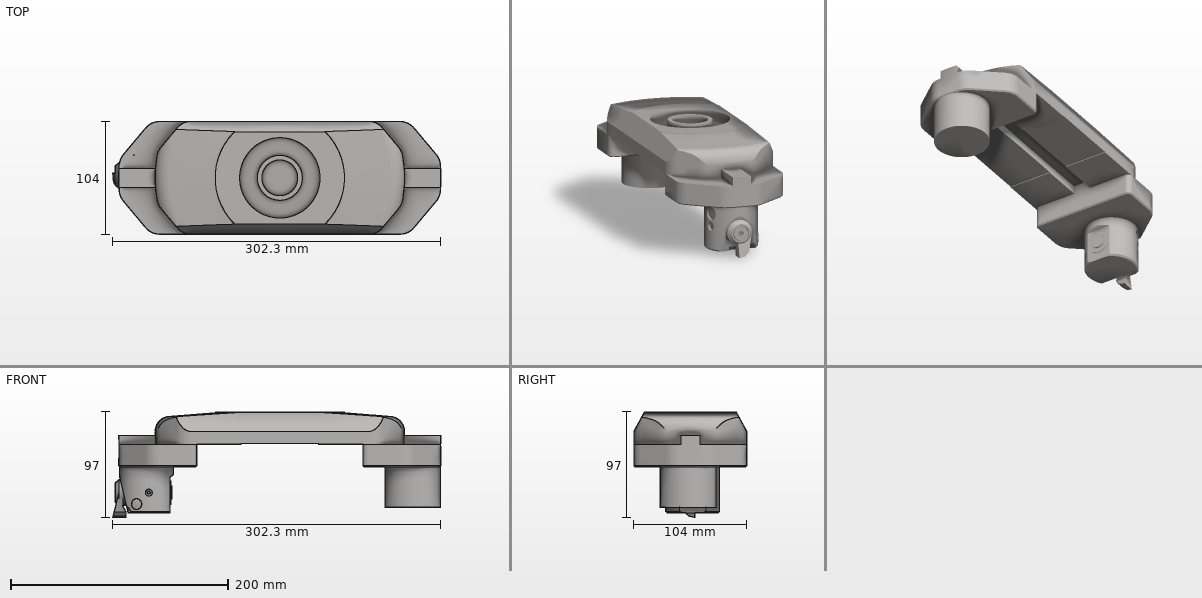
import cadquery as cq
import math

BODY_WIDTH = 104.0
HALF_WIDTH = BODY_WIDTH / 2
TAPER_ANGLE = 50
PLAN_FILLET = 17.0

BRIDGE_TOP = 29.5
BRIDGE_END_RADIUS = 114.8
BRIDGE_TAPER_START = 89.5
SIDE_HEIGHT = 11.8
TOP_HALF_WIDTH = 42.3
CROWN_RADIUS = 101.5
CROWN_HEIGHT = 25.7
DISC_RADIUS = 59.5
DISC_STEP = 0.5
RECESS_DIAMETER = 74.0
RECESS_FLOOR = 20.0
RING_DIAMETER = 41.5
RING_BORE = 33.0
RING_TOP = 29.0
RELIEF_LENGTH = 71.3
RELIEF_DEPTH = 0.5

BLOCK_HEIGHT = 21.0
BLOCK_INNER_X = 76.5
BLOCK_END_RADIUS = 148.5
BLOCK_TAPER_START = 118.5
BLOCK_INNER_FILLET = 4.8
BLOCK_CHAMFER = 1.2
KEY_WIDTH = 17.5
KEY_HEIGHT = 8.2

POST_DIAMETER = 51.5
POST_X = 122.5
POST_Y = -2.0
POST_BOTTOM = -58.0

HEAD_DIAMETER = 50.0
HEAD_RADIUS = HEAD_DIAMETER / 2
HEAD_X = -122.7
HEAD_Y = 2.0
HEAD_BOTTOM = -63.2
HEAD_CHAMFER = 1.5
FLAT_X = -101.0
FLAT_TOP = -27.8
FLAT_RUN_OUT = 2.5
SCREW_Z = -44.5
DIAL_DIAMETER = 21.8
DIAL_HEIGHT = 0.5
HUB_DIAMETER = 12.0
HUB_HEIGHT = 1.8
SLANT_TOP = -29.3
SLANT_ANGLE = 13.3
POCKET_BOTTOM = -59.5
RELIEF_TOP = -56.8
RELIEF_RUN = 4.0
RELIEF_EDGE_Y = 8.0
SIDE_SCREW_ANGLE = -85
SIDE_SCREW_DIAMETER = 6.3
SIDE_SCREW_DEPTH = 1.0
SIDE_SOCKET_DIAMETER = 2.8
SIDE_SOCKET_DEPTH = 2.7
DOME_ANGLE = -111.6
DOME_DIAMETER = 10.0
DOME_HEIGHT = 0.5
DOME_Z = -55.0
BACK_HOLE_ANGLE = 113
BACK_HOLE_DEPTH = 3.0
LARGE_HOLE_DIAMETER = 12.0
LARGE_HOLE_Z = -28.0
SMALL_HOLE_DIAMETER = 8.0
SMALL_HOLE_Z = -40.2

INSERT_DIAMETER = 24.0
INSERT_RADIUS = INSERT_DIAMETER / 2
INSERT_BACK_X = -139.0
INSERT_RIM_X = -148.0
INSERT_FRONT_X = -151.7
INSERT_FRONT_DIAMETER = 17.5
INSERT_TIP_X = -153.8
INSERT_BOTTOM = -67.5
BLADE_BACK_X = -144.5
BLADE_HEEL_X = -141.5
BLADE_EDGE_Y = 2.0
BLADE_POINT_WIDTH = 5.5
BLADE_POINT_RISE = 1.2
BLADE_LOWER_WIDTH = 9.7
HEEL_RISE = 5.0
SCREW_DIAMETER = 13.5
SCREW_SEAT_DIAMETER = 14.8
SCREW_HEAD_HEIGHT = 3.5
SCREW_SHANK_DIAMETER = 8.0
SCREW_SHANK_LENGTH = 15.0
SOCKET_DIAMETER = 4.8
SOCKET_DEPTH = 2.5


def box(x0, x1, y0, y1, z0, z1):
    """Box between the given limits."""
    return cq.Workplane("XY").box(x1 - x0, y1 - y0, z1 - z0, centered=False).translate((x0, y0, z0))


def x_cylinder(diameter, x0, x1, y, z):
    """Cylinder along X from x0 to x1."""
    return cq.Workplane("YZ", origin=(x0, y, z)).circle(diameter / 2).extrude(x1 - x0)


def tapered_side(start_x, end_radius):
    """Points of the slanted +Y edge, from its wide end to the point where it meets the end arc."""
    slope = math.tan(math.radians(TAPER_ANGLE))
    rise = HALF_WIDTH + slope * start_x
    a = 1 + slope**2
    x = (slope * rise + math.sqrt(a * end_radius**2 - rise**2)) / a
    return (start_x, HALF_WIDTH), (x, rise - slope * x)


def bridge_plan():
    (wide_x, wide_y), (end_x, end_y) = tapered_side(BRIDGE_TAPER_START, BRIDGE_END_RADIUS)
    return (
        cq.Workplane("XY")
        .moveTo(-wide_x, wide_y)
        .lineTo(wide_x, wide_y)
        .lineTo(end_x, end_y)
        .threePointArc((BRIDGE_END_RADIUS, 0), (end_x, -end_y))
        .lineTo(wide_x, -wide_y)
        .lineTo(-wide_x, -wide_y)
        .lineTo(-end_x, -end_y)
        .threePointArc((-BRIDGE_END_RADIUS, 0), (-end_x, end_y))
        .close()
        .extrude(BRIDGE_TOP)
        .edges("|Z")
        .fillet(PLAN_FILLET)
    )


def bridge_section():
    """Cross-section with sloping upper sides, drawn along the whole bridge."""
    return (
        cq.Workplane("YZ", origin=(-BRIDGE_END_RADIUS, 0, 0))
        .polyline([
            (-HALF_WIDTH, 0),
            (HALF_WIDTH, 0),
            (HALF_WIDTH, SIDE_HEIGHT),
            (TOP_HALF_WIDTH, BRIDGE_TOP),
            (-TOP_HALF_WIDTH, BRIDGE_TOP),
            (-HALF_WIDTH, SIDE_HEIGHT),
        ])
        .close()
        .extrude(2 * BRIDGE_END_RADIUS)
    )


def bridge_crown():
    """Turned envelope: flat central disc, shallow conical top and rounded end."""
    width = BRIDGE_END_RADIUS - CROWN_RADIUS
    height = CROWN_HEIGHT - SIDE_HEIGHT
    radius = (width**2 + height**2) / (2 * width)
    half_angle = math.asin(height / radius) / 2
    middle = (
        BRIDGE_END_RADIUS - radius * (1 - math.cos(half_angle)),
        SIDE_HEIGHT + radius * math.sin(half_angle),
    )
    return (
        cq.Workplane("XZ")
        .moveTo(0, 0)
        .lineTo(BRIDGE_END_RADIUS, 0)
        .lineTo(BRIDGE_END_RADIUS, SIDE_HEIGHT)
        .threePointArc(middle, (CROWN_RADIUS, CROWN_HEIGHT))
        .lineTo(DISC_RADIUS, BRIDGE_TOP - DISC_STEP)
        .lineTo(DISC_RADIUS, BRIDGE_TOP)
        .lineTo(0, BRIDGE_TOP)
        .close()
        .revolve(360, (0, 0, 0), (0, 1, 0))
    )


def make_bridge():
    bridge = bridge_plan().intersect(bridge_section()).intersect(bridge_crown())
    recess = (
        cq.Workplane("XY", origin=(0, 0, RECESS_FLOOR))
        .circle(RECESS_DIAMETER / 2)
        .extrude(BRIDGE_TOP - RECESS_FLOOR)
    )
    ring = (
        cq.Workplane("XY", origin=(0, 0, RECESS_FLOOR))
        .circle(RING_DIAMETER / 2)
        .circle(RING_BORE / 2)
        .extrude(RING_TOP - RECESS_FLOOR)
    )
    keyway = box(
        -BRIDGE_END_RADIUS, BRIDGE_END_RADIUS, -KEY_WIDTH / 2, KEY_WIDTH / 2, 0, KEY_HEIGHT
    )
    relief = box(
        -RELIEF_LENGTH / 2, RELIEF_LENGTH / 2, -HALF_WIDTH, HALF_WIDTH, 0, RELIEF_DEPTH
    )
    return bridge.cut(recess).union(ring).cut(keyway).cut(relief)


def make_block(angle):
    """End block on the +X side, turned about Z by the given angle."""
    (wide_x, wide_y), (end_x, end_y) = tapered_side(BLOCK_TAPER_START, BLOCK_END_RADIUS)
    block = (
        cq.Workplane("XY", origin=(0, 0, -BLOCK_HEIGHT))
        .moveTo(BLOCK_INNER_X, wide_y)
        .lineTo(wide_x, wide_y)
        .lineTo(end_x, end_y)
        .threePointArc((BLOCK_END_RADIUS, 0), (end_x, -end_y))
        .lineTo(wide_x, -wide_y)
        .lineTo(BLOCK_INNER_X, -wide_y)
        .close()
        .extrude(BLOCK_HEIGHT)
    )
    block = block.edges("|Z and (not <X)").fillet(PLAN_FILLET)
    block = block.edges("|Z and <X").fillet(BLOCK_INNER_FILLET)
    block = block.faces("<Z").edges().chamfer(BLOCK_CHAMFER)
    key = box(BLOCK_INNER_X, BLOCK_END_RADIUS, -KEY_WIDTH / 2, KEY_WIDTH / 2, 0, KEY_HEIGHT)
    end_cylinder = (
        cq.Workplane("XY").circle(BLOCK_END_RADIUS).extrude(KEY_HEIGHT)
    )
    return block.union(key.intersect(end_cylinder)).rotate((0, 0, 0), (0, 0, 1), angle)


def make_post():
    return (
        cq.Workplane("XY", origin=(POST_X, POST_Y, POST_BOTTOM))
        .circle(POST_DIAMETER / 2)
        .extrude(-BLOCK_HEIGHT - POST_BOTTOM)
    )


def radial_cylinder(angle, z, diameter, start, end):
    """Cylinder pointing out of the head, between two distances from the head's axis."""
    direction = cq.Vector(math.cos(math.radians(angle)), math.sin(math.radians(angle)), 0)
    base = cq.Vector(HEAD_X, HEAD_Y, z) + direction * start
    return cq.Workplane(cq.Solid.makeCylinder(diameter / 2, end - start, base, direction))


def radial_drill(angle, z, diameter, depth):
    """Cutter for a hole of the given depth in the head's round side."""
    return radial_cylinder(angle, z, diameter, HEAD_RADIUS - depth, HEAD_RADIUS + depth)


def dome():
    """Plug with a slightly raised spherical face."""
    ball = cq.Workplane("XY", origin=(HEAD_X, HEAD_Y, DOME_Z)).sphere(HEAD_RADIUS + DOME_HEIGHT)
    stem = radial_cylinder(DOME_ANGLE, DOME_Z, DOME_DIAMETER, HEAD_RADIUS / 2, 2 * HEAD_RADIUS)
    return stem.intersect(ball)


def seat_x(z):
    """X of the slanted seat face at a given height."""
    return HEAD_X - HEAD_RADIUS + (SLANT_TOP - z) * math.tan(math.radians(SLANT_ANGLE))


def seat_cut():
    """Everything in front of the slanted seat face."""
    outer_x = HEAD_X - HEAD_RADIUS
    return (
        cq.Workplane("XZ", origin=(0, HEAD_Y, 0))
        .polyline([(outer_x, SLANT_TOP), (seat_x(HEAD_BOTTOM), HEAD_BOTTOM), (outer_x, HEAD_BOTTOM)])
        .close()
        .extrude(HEAD_RADIUS, both=True)
    )


def seat_undercut():
    """Wedge that clears the lower end of the seat face beside the blade."""
    bottom_x = seat_x(HEAD_BOTTOM)
    return (
        cq.Workplane("XZ", origin=(0, HEAD_Y + RELIEF_EDGE_Y, 0))
        .polyline([
            (seat_x(RELIEF_TOP), RELIEF_TOP),
            (bottom_x + RELIEF_RUN, HEAD_BOTTOM),
            (bottom_x, HEAD_BOTTOM),
        ])
        .close()
        .extrude(RELIEF_EDGE_Y + HEAD_RADIUS)
    )


def seat_pocket():
    """Round-topped pocket in the seat face that holds the back of the insert."""
    front_x = HEAD_X - HEAD_RADIUS
    pocket = x_cylinder(INSERT_DIAMETER, front_x, INSERT_BACK_X, HEAD_Y, SCREW_Z)
    foot = box(
        front_x, INSERT_BACK_X,
        HEAD_Y - INSERT_RADIUS, HEAD_Y + INSERT_RADIUS,
        POCKET_BOTTOM, SCREW_Z,
    )
    return pocket.union(foot)


def make_head():
    head = (
        cq.Workplane("XY", origin=(HEAD_X, HEAD_Y, HEAD_BOTTOM))
        .circle(HEAD_RADIUS)
        .extrude(-BLOCK_HEIGHT - HEAD_BOTTOM)
        .faces("<Z")
        .edges()
        .chamfer(HEAD_CHAMFER)
    )
    outer_x = HEAD_X + HEAD_RADIUS
    flat = (
        cq.Workplane("XZ", origin=(0, HEAD_Y, 0))
        .polyline([
            (FLAT_X, HEAD_BOTTOM),
            (FLAT_X, FLAT_TOP - FLAT_RUN_OUT),
            (outer_x, FLAT_TOP),
            (outer_x, HEAD_BOTTOM),
        ])
        .close()
        .extrude(HEAD_RADIUS, both=True)
    )
    head = head.cut(flat).cut(seat_cut()).cut(seat_undercut()).cut(seat_pocket())
    head = head.union(x_cylinder(DIAL_DIAMETER, HEAD_X, FLAT_X + DIAL_HEIGHT, HEAD_Y, SCREW_Z))
    head = head.union(x_cylinder(HUB_DIAMETER, HEAD_X, FLAT_X + HUB_HEIGHT, HEAD_Y, SCREW_Z))
    head = head.union(dome())
    for z, diameter in ((LARGE_HOLE_Z, LARGE_HOLE_DIAMETER), (SMALL_HOLE_Z, SMALL_HOLE_DIAMETER)):
        head = head.cut(radial_drill(BACK_HOLE_ANGLE, z, diameter, BACK_HOLE_DEPTH))
    for diameter, depth in (
        (SIDE_SCREW_DIAMETER, SIDE_SCREW_DEPTH),
        (SIDE_SOCKET_DIAMETER, SIDE_SOCKET_DEPTH),
    ):
        head = head.cut(radial_drill(SIDE_SCREW_ANGLE, SCREW_Z, diameter, depth))
    return head.cut(screw_shank())


def make_insert():
    rim = x_cylinder(INSERT_DIAMETER, INSERT_RIM_X, INSERT_BACK_X, HEAD_Y, SCREW_Z)
    nose = cq.Workplane(
        cq.Solid.makeCone(
            INSERT_FRONT_DIAMETER / 2,
            INSERT_RADIUS,
            INSERT_RIM_X - INSERT_FRONT_X,
            cq.Vector(INSERT_FRONT_X, HEAD_Y, SCREW_Z),
            cq.Vector(1, 0, 0),
        )
    )
    return rim.union(nose).union(insert_blade()).cut(screw_seat()).cut(screw_shank())


def insert_blade():
    """Blade that reaches down from the round body to the cutting tip."""
    edge_y = HEAD_Y + BLADE_EDGE_Y
    heel_z = INSERT_BOTTOM + HEEL_RISE
    face = (
        cq.Workplane("YZ", origin=(INSERT_TIP_X, 0, 0))
        .polyline([
            (edge_y, SCREW_Z),
            (edge_y, INSERT_BOTTOM),
            (edge_y - BLADE_POINT_WIDTH, INSERT_BOTTOM + BLADE_POINT_RISE),
            (edge_y - BLADE_LOWER_WIDTH, heel_z),
            (HEAD_Y - INSERT_RADIUS, SCREW_Z),
        ])
        .close()
        .extrude(BLADE_HEEL_X - INSERT_TIP_X)
    )
    profile = (
        cq.Workplane("XZ", origin=(0, HEAD_Y, 0))
        .polyline([
            (INSERT_RIM_X, SCREW_Z),
            (INSERT_TIP_X, INSERT_BOTTOM),
            (BLADE_HEEL_X, INSERT_BOTTOM),
            (BLADE_HEEL_X, heel_z),
            (BLADE_BACK_X, heel_z + HEEL_RISE),
            (BLADE_BACK_X, SCREW_Z),
        ])
        .close()
        .extrude(INSERT_RADIUS, both=True)
    )
    return face.intersect(profile)


def screw_seat():
    return x_cylinder(
        SCREW_SEAT_DIAMETER, INSERT_TIP_X, INSERT_FRONT_X + SCREW_HEAD_HEIGHT, HEAD_Y, SCREW_Z
    )


def screw_shank():
    start = INSERT_FRONT_X + SCREW_HEAD_HEIGHT
    return x_cylinder(SCREW_SHANK_DIAMETER, start, start + SCREW_SHANK_LENGTH, HEAD_Y, SCREW_Z)


def make_screw():
    cap = x_cylinder(
        SCREW_DIAMETER, INSERT_FRONT_X, INSERT_FRONT_X + SCREW_HEAD_HEIGHT, HEAD_Y, SCREW_Z
    )
    socket = x_cylinder(
        SOCKET_DIAMETER, INSERT_FRONT_X, INSERT_FRONT_X + SOCKET_DEPTH, HEAD_Y, SCREW_Z
    )
    return cap.union(screw_shank()).cut(socket)


bridge = make_bridge()
blocks = [make_block(angle) for angle in (0, 180)]
post = make_post()
head = make_head()
insert = make_insert()
screw = make_screw()

result = cq.Compound.makeCompound([
    bridge.val(),
    *[block.val() for block in blocks],
    post.val(),
    head.val(),
    insert.val(),
    screw.val(),
])